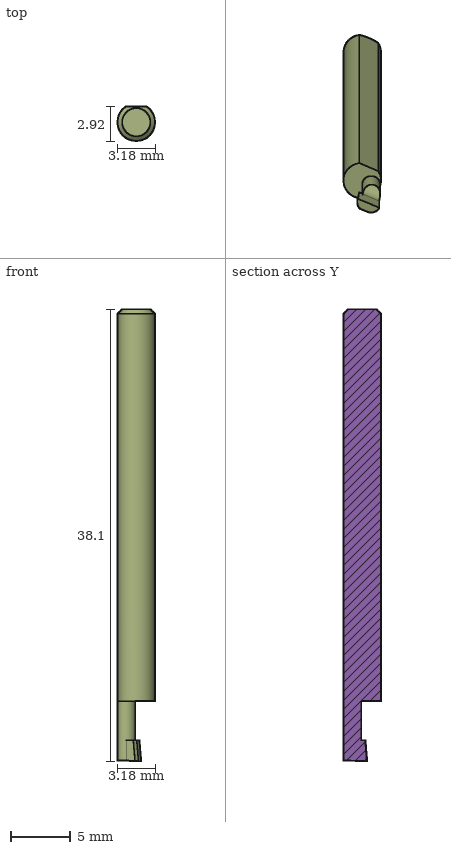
import cadquery as cq
import math

overall_length = 38.1
shank_diameter = 3.175
shank_radius = shank_diameter / 2
shank_depth_over_flat = 2.92
shank_chamfer = 0.4
neck_length = 5.08

neck_radius = 0.76
neck_center_x = neck_radius - shank_radius

head_length = 1.8
tip_x_bottom = 0.43
tip_x_top = 0.28
relief_width = 0.53
relief_facet_width = 0.29
relief_facet_angle = 36.0
relief_bulge = 0.04
end_tilt_x = 2.0
end_tilt_y = 3.0

gash_radius = 1.2


def make_shank():
    shank = (
        cq.Workplane("XY")
        .workplane(offset=neck_length)
        .circle(shank_radius)
        .extrude(overall_length - neck_length)
        .faces(">Z")
        .chamfer(shank_chamfer)
    )
    flat_y = shank_depth_over_flat - shank_radius
    beyond_flat = cq.Workplane("XY").box(
        shank_diameter, shank_diameter, overall_length, centered=(True, False, False)
    ).translate((0, flat_y, 0))
    return shank.cut(beyond_flat)


def make_neck():
    return cq.Workplane("XY").center(neck_center_x, 0).circle(neck_radius).extrude(neck_length)


def head_outline(plane, tip_x):
    """Closed outline: cutting face, arc and facet relief, underside tangent to the neck."""
    underside_end_x = tip_x - relief_width
    facet_end_x = underside_end_x + relief_facet_width
    facet_end_y = -neck_radius + relief_facet_width * math.tan(math.radians(relief_facet_angle))

    chord_x = tip_x - facet_end_x
    chord_y = -facet_end_y
    chord = math.hypot(chord_x, chord_y)
    arc_mid_x = facet_end_x + chord_x / 2 + relief_bulge * chord_y / chord
    arc_mid_y = facet_end_y + chord_y / 2 - relief_bulge * chord_x / chord
    return (
        plane.moveTo(neck_center_x, 0)
        .lineTo(tip_x, 0)
        .threePointArc((arc_mid_x, arc_mid_y), (facet_end_x, facet_end_y))
        .lineTo(underside_end_x, -neck_radius)
        .lineTo(neck_center_x, -neck_radius)
        .close()
    )


def make_head():
    bottom = head_outline(cq.Workplane("XY"), tip_x_bottom)
    return head_outline(bottom.workplane(offset=head_length), tip_x_top).loft(ruled=True)


def make_gash():
    """Space in front of the cutting face, running out through the neck on an arc."""
    arc_mid = gash_radius * math.sqrt(0.5)
    return (
        cq.Workplane("YZ")
        .lineTo(0, head_length)
        .threePointArc(
            (gash_radius - arc_mid, head_length + arc_mid),
            (gash_radius, head_length + gash_radius),
        )
        .lineTo(gash_radius, 0)
        .close()
        .extrude(shank_radius, both=True)
    )


def make_end_clearance():
    """Block under the tilted end face, whose lowest point is the cutting tip."""
    block_width = 2 * shank_diameter
    block = cq.Workplane("XY").rect(block_width, block_width).extrude(-shank_diameter)
    block = block.rotate((0, 0, 0), (0, 1, 0), end_tilt_x)
    block = block.rotate((0, 0, 0), (1, 0, 0), -end_tilt_y)
    return block.translate((tip_x_bottom, 0, 0))


neck_and_head = make_neck().cut(make_gash()).union(make_head()).cut(make_end_clearance())
result = make_shank().union(neck_and_head)